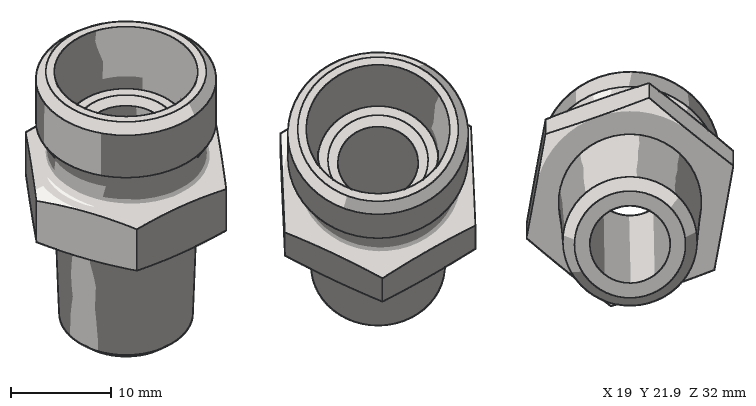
import cadquery as cq
import math

total_height = 32.0
hex_bottom = 15.0
hex_height = 6.0
hex_top = hex_bottom + hex_height

across_flats = 19.0
across_corners = across_flats / math.cos(math.radians(30))
hex_top_circle = 18.88
hex_bottom_circle = 19.0
hex_top_chamfer_angle = 15.0
hex_bottom_chamfer_angle = 12.0

thread_diameter = 18.0
thread_end_diameter = 16.0
thread_chamfer_height = 0.93
thread_length = 6.35
neck_diameter = 15.7
undercut_angle = 30.0
undercut_fillet = 1.0

taper_top_diameter = 14.25
taper_ratio = 1 / 16
tip_chamfer = 1.15

mouth_diameter = 14.3
socket_diameter = 12.0
socket_depth = 7.0
socket_half_angle = 12.0
countersink_diameter = 10.0
countersink_slope = 30.0
bore_diameter = 8.0


def taper_radius(z):
    """Radius of the tapered thread at height z."""
    return (taper_top_diameter - (hex_bottom - z) * taper_ratio) / 2


def make_stud():
    """Tapered thread below the hexagon, with a chamfered tip."""
    tip_radius = taper_radius(tip_chamfer)
    return (
        cq.Workplane("XZ")
        .lineTo(tip_radius - tip_chamfer, 0)
        .lineTo(tip_radius, tip_chamfer)
        .lineTo(taper_radius(hex_bottom), hex_bottom)
        .lineTo(0, hex_bottom)
        .close()
        .revolve(360, (0, 0, 0), (0, 1, 0))
    )


def make_hexagon():
    """Hexagon with corners on Y, its corners trimmed by shallow cones."""
    prism = (
        cq.Workplane("XY", origin=(0, 0, hex_bottom))
        .polygon(6, across_corners)
        .extrude(hex_height)
        .rotate((0, 0, 0), (0, 0, 1), 30)
    )
    corner_radius = across_corners / 2
    top_radius = hex_top_circle / 2
    bottom_radius = hex_bottom_circle / 2
    top_drop = (corner_radius - top_radius) * math.tan(math.radians(hex_top_chamfer_angle))
    bottom_rise = (corner_radius - bottom_radius) * math.tan(math.radians(hex_bottom_chamfer_angle))
    envelope = (
        cq.Workplane("XZ")
        .moveTo(0, hex_bottom)
        .lineTo(bottom_radius, hex_bottom)
        .lineTo(corner_radius, hex_bottom + bottom_rise)
        .lineTo(corner_radius, hex_top - top_drop)
        .lineTo(top_radius, hex_top)
        .lineTo(0, hex_top)
        .close()
        .revolve(360, (0, 0, 0), (0, 1, 0))
    )
    return prism.intersect(envelope)


def make_upper_end():
    """Straight thread, undercut cone and neck, with both neck corners rounded."""
    thread_radius = thread_diameter / 2
    neck_radius = neck_diameter / 2
    slope = math.radians(undercut_angle)
    thread_bottom = total_height - thread_length
    cone_bottom = thread_bottom - (thread_radius - neck_radius) / math.tan(slope)

    tangent_length = undercut_fillet * math.tan(slope / 2)
    upper_centre_x = neck_radius + undercut_fillet
    upper_centre_z = cone_bottom - tangent_length
    cone_tangent = (
        upper_centre_x - undercut_fillet * math.cos(slope),
        upper_centre_z + undercut_fillet * math.sin(slope),
    )
    upper_mid = (
        upper_centre_x - undercut_fillet * math.cos(slope / 2),
        upper_centre_z + undercut_fillet * math.sin(slope / 2),
    )

    quarter_offset = undercut_fillet * (1 - math.sqrt(0.5))
    return (
        cq.Workplane("XZ")
        .moveTo(0, hex_top)
        .lineTo(neck_radius + undercut_fillet, hex_top)
        .threePointArc(
            (neck_radius + quarter_offset, hex_top + quarter_offset),
            (neck_radius, hex_top + undercut_fillet),
        )
        .lineTo(neck_radius, upper_centre_z)
        .threePointArc(upper_mid, cone_tangent)
        .lineTo(thread_radius, thread_bottom)
        .lineTo(thread_radius, total_height - thread_chamfer_height)
        .lineTo(thread_end_diameter / 2, total_height)
        .lineTo(0, total_height)
        .close()
        .revolve(360, (0, 0, 0), (0, 1, 0))
    )


def make_bore():
    """Conical mouth, socket with a flat shoulder, countersink and through bore."""
    mouth_radius = mouth_diameter / 2
    socket_radius = socket_diameter / 2
    sink_radius = countersink_diameter / 2
    bore_radius = bore_diameter / 2
    mouth_depth = (mouth_radius - socket_radius) / math.tan(math.radians(socket_half_angle))
    sink_depth = (sink_radius - bore_radius) * math.tan(math.radians(countersink_slope))
    shoulder = total_height - socket_depth
    return (
        cq.Workplane("XZ")
        .lineTo(bore_radius, 0)
        .lineTo(bore_radius, shoulder - sink_depth)
        .lineTo(sink_radius, shoulder)
        .lineTo(socket_radius, shoulder)
        .lineTo(socket_radius, total_height - mouth_depth)
        .lineTo(mouth_radius, total_height)
        .lineTo(0, total_height)
        .close()
        .revolve(360, (0, 0, 0), (0, 1, 0))
    )


result = make_stud().union(make_hexagon()).union(make_upper_end()).cut(make_bore())